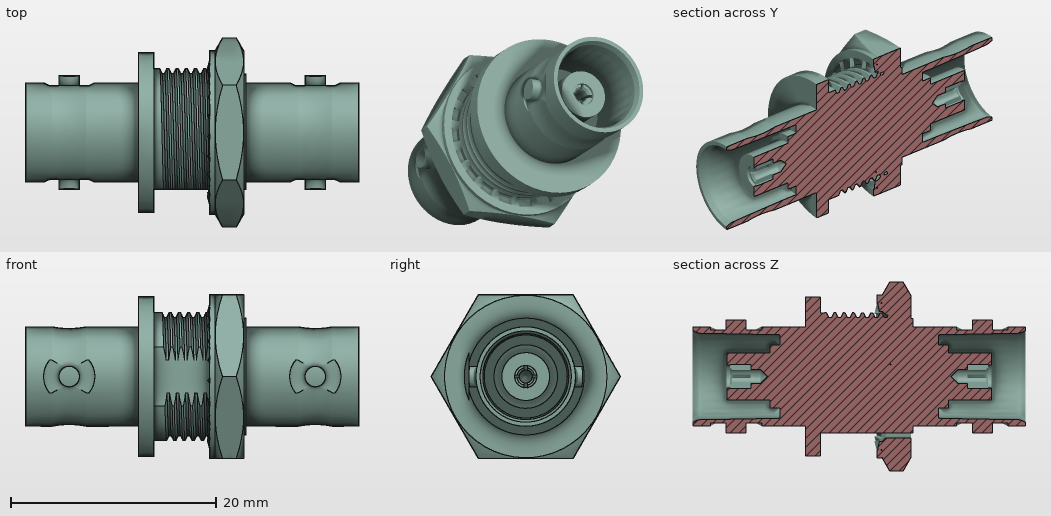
import cadquery as cq
import math


cut_margin = 0.5

total_length = 32.5
half_length = total_length / 2
body_radius = 4.85

pin_x = 12.0
pin_radius = 1.0
pin_tip_radius = 5.55
pin_root_radius = 4.4
waist_half_width = 1.67
waist_depth = 0.17
spotface_radius = 2.5
spotface_height = 4.58

mouth_radius = 4.45
mouth_chamfer_length = 0.6
throat_radius = 4.2
floor_radius = 4.05
floor_depth = 8.5
shoulder_radius = 3.1
shoulder_depth = 7.5
insulator_radius = 2.33
insulator_depth = 3.35

contact_recess_radius = 1.08
contact_recess = 0.3
contact_mouth_radius = 0.85
contact_bore_radius = 0.64
contact_bore_length = 3.0
contact_slot_width = 0.3
contact_slot_length = 2.0
contact_slot_reach = 1.15

barrel_half_length = 5.25
flange_thickness = 1.5
flange_radius = 7.8
flange_back_x = -barrel_half_length + flange_thickness
thread_radius = 6.25
thread_root_radius = 5.78
thread_pitch = 0.9
thread_turns = 7
thread_start_x = -2.94
thread_start_angle = -135
groove_crest_width = 0.7
groove_root_width = 0.24
groove_margin = 0.1
barrel_tip_radius = 5.7
barrel_flat_height = 5.55

nut_sides = 6
nut_across_flats = 16.0
nut_front_x = 2.2
nut_thickness = 2.85
nut_back_x = nut_front_x + nut_thickness
nut_face_radius = 7.92
nut_chamfer_angle = 30
nut_bore_radius = 6.0
nut_countersink_radius = 6.4

washer_thickness = 0.5
washer_radius = nut_across_flats / 2
washer_hole_radius = 7.2
tooth_count = 20
first_tooth_angle = 1.8
tooth_tip_radius = 6.3
tooth_width = 0.9
tooth_thickness = 0.4
tooth_twist = -45
tooth_overlap = 0.1


def cylinder(x_start, x_end, radius):
    """Solid cylinder around the X axis."""
    return cq.Workplane("YZ", origin=(x_start, 0, 0)).circle(radius).extrude(x_end - x_start)


def revolve_about_x(points):
    """Solid of revolution from (x, radius) points, around the X axis."""
    return cq.Workplane("XY").polyline(points).close().revolve(360, (0, 0, 0), (1, 0, 0))


def waist():
    """Shallow concave ring removed from the jack body around its pins."""
    outside = body_radius + cut_margin
    left = pin_x - waist_half_width
    right = pin_x + waist_half_width
    return (
        cq.Workplane("XY")
        .moveTo(left, outside)
        .lineTo(left, body_radius)
        .threePointArc((pin_x, body_radius - waist_depth), (right, body_radius))
        .lineTo(right, outside)
        .close()
        .revolve(360, (0, 0, 0), (1, 0, 0))
    )


def spotface(side):
    """Round flat-bottomed cut around a pin, on the +Y (side = 1) or -Y (side = -1) face."""
    face = cq.Plane(origin=(pin_x, side * spotface_height, 0), xDir=(1, 0, 0), normal=(0, side, 0))
    return cq.Workplane(face).circle(spotface_radius).extrude(body_radius)


def pin(side):
    """Radial bayonet pin whose end is rounded about the X axis."""
    root = cq.Plane(origin=(pin_x, side * pin_root_radius, 0), xDir=(1, 0, 0), normal=(0, side, 0))
    blank = cq.Workplane(root).circle(pin_radius).extrude(pin_tip_radius - pin_root_radius)
    return blank.intersect(cylinder(0, half_length, pin_tip_radius))


def socket():
    """Bore around the insulator: chamfered mouth, tapered wall and a shoulder on its floor."""
    return revolve_about_x(
        [
            (half_length, 0),
            (half_length, mouth_radius),
            (half_length - mouth_chamfer_length, throat_radius),
            (half_length - floor_depth, floor_radius),
            (half_length - floor_depth, shoulder_radius),
            (half_length - shoulder_depth, shoulder_radius),
            (half_length - shoulder_depth, insulator_radius),
            (half_length - insulator_depth, insulator_radius),
            (half_length - insulator_depth, 0),
        ]
    )


def contact_hole():
    """Recessed contact: countersunk bore with a conical end and two crossed slots."""
    insulator_x = half_length - insulator_depth
    contact_x = insulator_x - contact_recess
    bore_mouth_x = contact_x - (contact_mouth_radius - contact_bore_radius)
    bore_end_x = contact_x - contact_bore_length
    hole = revolve_about_x(
        [
            (insulator_x, 0),
            (insulator_x, contact_recess_radius),
            (contact_x, contact_recess_radius),
            (contact_x, contact_mouth_radius),
            (bore_mouth_x, contact_bore_radius),
            (bore_end_x, contact_bore_radius),
            (bore_end_x - contact_bore_radius, 0),
        ]
    )
    slot_plane = cq.Workplane("YZ", origin=(contact_x, 0, 0))
    for angle in (0, 90):
        slot = slot_plane.rect(2 * contact_slot_reach, contact_slot_width).extrude(-contact_slot_length)
        hole = hole.union(slot.rotate((0, 0, 0), (1, 0, 0), angle))
    return hole


def jack():
    """The +X jack end."""
    body = cylinder(0, half_length, body_radius).cut(waist())
    for side in (1, -1):
        body = body.cut(spotface(side)).union(pin(side))
    return body.cut(socket()).cut(contact_hole())


def thread_groove():
    """Right-hand helical V groove, starting on the +Y side of the barrel."""
    path = cq.Wire.makeHelix(
        thread_pitch,
        thread_pitch * thread_turns,
        thread_root_radius,
        center=cq.Vector(thread_start_x, 0, 0),
        dir=cq.Vector(1, 0, 0),
    )
    depth = thread_radius - thread_root_radius
    flank_slope = (groove_crest_width - groove_root_width) / 2 / depth
    outer_half_width = groove_crest_width / 2 + groove_margin * flank_slope
    root_half_width = groove_root_width / 2
    start = path.startPoint()
    radial = cq.Vector(0, start.y, start.z).normalized()
    tangent = radial.cross(cq.Vector(1, 0, 0))
    section = cq.Plane(origin=start, xDir=cq.Vector(1, 0, 0), normal=tangent)
    outward = section.yDir.dot(radial)
    groove = (
        cq.Workplane(section)
        .polyline(
            [
                (-root_half_width, 0),
                (root_half_width, 0),
                (outer_half_width, outward * (depth + groove_margin)),
                (-outer_half_width, outward * (depth + groove_margin)),
            ]
        )
        .close()
        .sweep(cq.Workplane(path), isFrenet=True)
    )
    return groove.rotate((0, 0, 0), (1, 0, 0), thread_start_angle)


def barrel():
    """Threaded barrel between the flange and the far side of the nut, with its flat."""
    threaded = cylinder(flange_back_x, nut_back_x, thread_radius).cut(thread_groove())
    threaded = threaded.union(cylinder(nut_front_x, barrel_half_length, barrel_tip_radius))
    length = barrel_half_length - flange_back_x
    flat_cut = cq.Workplane("XY").box(length, thread_radius, 2 * thread_radius, centered=(False, False, True))
    return threaded.cut(flat_cut.translate((flange_back_x, -barrel_flat_height - thread_radius, 0)))


def nut():
    """Hexagonal nut with conical chamfers and a bore, countersunk at 45 degrees on the washer side."""
    corner_radius = nut_across_flats / 2 / math.cos(math.pi / nut_sides)
    hexagon = cq.Workplane("YZ", origin=(nut_front_x, 0, 0)).polygon(nut_sides, 2 * corner_radius)
    outer_radius = corner_radius + cut_margin
    chamfer_length = (outer_radius - nut_face_radius) * math.tan(math.radians(nut_chamfer_angle))
    envelope = revolve_about_x(
        [
            (nut_front_x, 0),
            (nut_front_x, nut_face_radius),
            (nut_front_x + chamfer_length, outer_radius),
            (nut_back_x - chamfer_length, outer_radius),
            (nut_back_x, nut_face_radius),
            (nut_back_x, 0),
        ]
    )
    countersink_depth = nut_countersink_radius - nut_bore_radius
    bore = revolve_about_x(
        [
            (nut_front_x, 0),
            (nut_front_x, nut_countersink_radius),
            (nut_front_x + countersink_depth, nut_bore_radius),
            (nut_back_x, nut_bore_radius),
            (nut_back_x, 0),
        ]
    )
    return hexagon.extrude(nut_thickness).intersect(envelope).cut(bore)


def washer_tooth():
    """Tooth on the +Z side: square to the ring at its root and twisted about its own radius at the tip."""
    root_radius = washer_hole_radius + tooth_overlap
    return (
        cq.Workplane("XY", origin=(nut_front_x - washer_thickness / 2, 0, root_radius))
        .rect(tooth_thickness, tooth_width)
        .workplane(offset=tooth_tip_radius - root_radius)
        .transformed(rotate=(0, 0, tooth_twist))
        .rect(tooth_thickness, tooth_width)
        .loft(ruled=True)
    )


def lock_washer():
    """Ring against the nut with twisted teeth pointing inwards."""
    front_x = nut_front_x - washer_thickness
    ring = cylinder(front_x, nut_front_x, washer_radius)
    ring = ring.cut(cylinder(front_x, nut_front_x, washer_hole_radius))
    tooth = washer_tooth()
    for index in range(tooth_count):
        angle = first_tooth_angle + index * 360 / tooth_count
        ring = ring.union(tooth.rotate((0, 0, 0), (1, 0, 0), angle))
    return ring


right_jack = jack()
left_jack = right_jack.mirror("YZ")
flange = cylinder(-barrel_half_length, flange_back_x, flange_radius)

shell = right_jack.union(left_jack).union(flange).union(barrel())
result = shell.union(nut()).union(lock_washer())